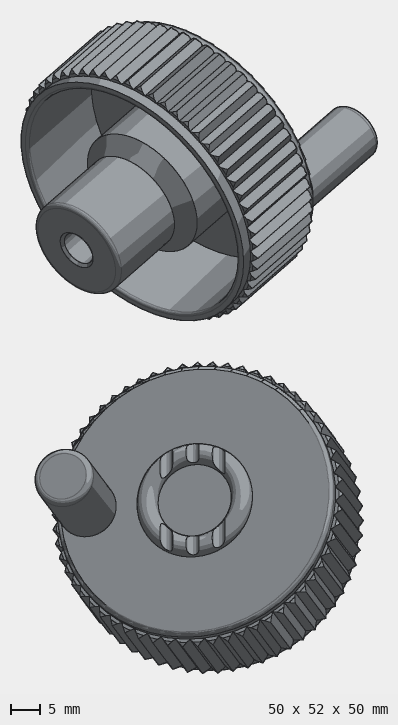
import cadquery as cq
import math


rim_diameter = 47.48
rim_front_y = 15.0
wheel_back_y = 34.2
back_edge_radius = 0.7
cavity_diameter = 44.6
back_wall_thickness = 2.0
cavity_floor_y = wheel_back_y - back_wall_thickness
cavity_lip_radius = 0.5

hub_diameter = 18.0
hub_edge_radius = 0.7
hub_base_diameter = 23.4
hub_cone_front_y = rim_front_y
hub_cone_back_y = hub_cone_front_y + (hub_base_diameter - hub_diameter) / 2
bore_diameter = 6.0
bore_depth = 20.0
bore_mouth_chamfer = 0.5

knurl_diameter = 50.0
knurl_front_y = 16.85
knurl_back_y = 32.4
tooth_count = 60
tooth_half_angle = 45.0
knurl_chamfer_radial = 0.7
knurl_chamfer_axial = 0.4

bead_outer_diameter = 19.8
bead_inner_diameter = 12.6
bead_radius = (bead_outer_diameter - bead_inner_diameter) / 4
bead_groove_radius = 1.1
bead_groove_pitch = 4.5
bead_groove_count = 3

handle_diameter = 10.0
handle_offset_x = 18.5
handle_end_y = 51.98
handle_edge_radius = 1.0


def cylinder(diameter, y_start, y_end, x=0.0):
    """Solid cylinder along Y between two stations."""
    plane = cq.Plane(origin=(x, y_start, 0), xDir=(1, 0, 0), normal=(0, 1, 0))
    return cq.Workplane(plane).circle(diameter / 2).extrude(y_end - y_start)


def revolve_about_y(points):
    """Solid of revolution from (radius, y) points."""
    return cq.Workplane("XY").polyline(points).close().revolve(360, (0, 0, 0), (0, 1, 0))


def make_shell():
    """Cup-shaped wheel, open toward the hub end."""
    shell = cylinder(rim_diameter, rim_front_y, wheel_back_y)
    shell = shell.faces(">Y").edges().fillet(back_edge_radius)
    shell = shell.cut(cylinder(cavity_diameter, rim_front_y, cavity_floor_y))
    lip = cq.selectors.RadiusNthSelector(0)
    return shell.faces("<Y").edges(lip).fillet(cavity_lip_radius)


def make_hub():
    """Hub with a conical step to a wider base."""
    hub = revolve_about_y([
        (0, 0),
        (hub_diameter / 2, 0),
        (hub_diameter / 2, hub_cone_front_y),
        (hub_base_diameter / 2, hub_cone_back_y),
        (hub_base_diameter / 2, cavity_floor_y),
        (0, cavity_floor_y),
    ])
    return hub.faces("<Y").edges().fillet(hub_edge_radius)


def make_bore():
    """Blind bore with a chamfered mouth, as a cutting body."""
    bore_radius = bore_diameter / 2
    return revolve_about_y([
        (0, 0),
        (bore_radius + bore_mouth_chamfer, 0),
        (bore_radius, bore_mouth_chamfer),
        (bore_radius, bore_depth),
        (0, bore_depth),
    ])


def make_knurl():
    """Ring of sharp V-shaped teeth with chamfered ends."""
    half_pitch = math.pi / tooth_count
    tip_radius = knurl_diameter / 2
    flank_slope = math.tan(math.radians(tooth_half_angle))
    root_radius = tip_radius / (math.cos(half_pitch) + math.sin(half_pitch) / flank_slope)

    outline = []
    for tooth in range(tooth_count):
        crest_angle = 2 * half_pitch * tooth
        root_angle = crest_angle + half_pitch
        outline.append((tip_radius * math.cos(crest_angle), tip_radius * math.sin(crest_angle)))
        outline.append((root_radius * math.cos(root_angle), root_radius * math.sin(root_angle)))
    plane = cq.Plane(origin=(0, knurl_front_y, 0), xDir=(1, 0, 0), normal=(0, 1, 0))
    teeth = cq.Workplane(plane).polyline(outline).close().extrude(knurl_back_y - knurl_front_y)

    end_radius = tip_radius - knurl_chamfer_radial
    blank = revolve_about_y([
        (0, knurl_front_y),
        (end_radius, knurl_front_y),
        (tip_radius, knurl_front_y + knurl_chamfer_axial),
        (tip_radius, knurl_back_y - knurl_chamfer_axial),
        (end_radius, knurl_back_y),
        (0, knurl_back_y),
    ])
    opening = cylinder((rim_diameter + cavity_diameter) / 2, knurl_front_y, knurl_back_y)
    return teeth.intersect(blank).cut(opening)


def make_bead():
    """Half-round ring on the back face, crossed by round-bottomed grooves along Z."""
    inner_radius = bead_inner_diameter / 2
    outer_radius = bead_outer_diameter / 2
    crest_y = wheel_back_y + bead_radius
    seat_y = wheel_back_y - back_wall_thickness / 2
    bead = (
        cq.Workplane("XY")
        .moveTo(inner_radius, seat_y)
        .lineTo(inner_radius, wheel_back_y)
        .threePointArc((inner_radius + bead_radius, crest_y), (outer_radius, wheel_back_y))
        .lineTo(outer_radius, seat_y)
        .close()
        .revolve(360, (0, 0, 0), (0, 1, 0))
    )
    for index in range(bead_groove_count):
        groove_x = (index - (bead_groove_count - 1) / 2) * bead_groove_pitch
        groove = (
            cq.Workplane("XY")
            .center(groove_x, crest_y)
            .circle(bead_groove_radius)
            .extrude(outer_radius, both=True)
        )
        bead = bead.cut(groove)
    return bead


def make_handle():
    """Crank handle standing on the back wall."""
    handle = cylinder(handle_diameter, cavity_floor_y, handle_end_y, handle_offset_x)
    return handle.faces(">Y").edges().fillet(handle_edge_radius)


wheel = make_shell().union(make_knurl()).union(make_hub())
wheel = wheel.union(make_bead()).union(make_handle())
result = wheel.cut(make_bore())